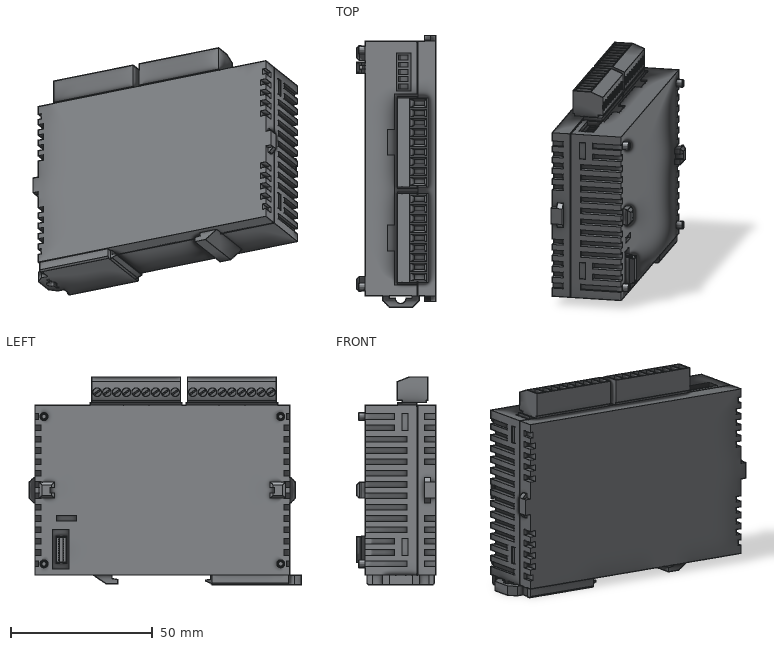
import cadquery as cq


THICKNESS = 25.0
LENGTH = 90.0
HEIGHT = 60.0
HALF_LENGTH = LENGTH / 2
MID_HEIGHT = HEIGHT / 2

PARTING_X = 18.25
PARTING_WIDTH = 0.35
PARTING_DEPTH = 0.5

VENT_PITCH = 4.0
VENT_WIDTH = 2.0
VENT_DEPTH = 2.1
VENT_SHALLOW_DEPTH = 1.2
VENT_COUNT = 14
VENT_LONG = 14.8
VENT_SHORT = 10.4
VENT_BACK_START = 21.0
SHORT_ROWS = (2, 3, 13, 14)
SHALLOW_ROWS = (1, 14)
BACK_ROWS = (1, 2, 3, 4, 5, 10, 11, 12, 13, 14)
WINDOW_X = 13.0
WINDOW_WIDTH = 2.15
WINDOW_HEIGHT = 6.0
WINDOW_DEPTH = 0.5
WINDOW_ROWS = (2.5, 13.5)

POST_INSET_Y = 3.2
POST_INSET_Z = 4.0
POST_RADIUS = 1.4
POST_LENGTH = 2.4
POST_CHAMFER = 0.3
POST_DIMPLE_RADIUS = 0.8
POST_DIMPLE_DEPTH = 0.4

PLUG_REACH = 3.0
CLIP_INSET = 1.5
CLIP_LENGTH = 5.4
CLIP_HEIGHT = 5.7
CLIP_BEVEL = 1.0
CLIP_LIP_X = -1.5
CLIP_UNDERCUT = 1.2
CLIP_NOTCH_LENGTH = 1.5
CLIP_NOTCH_HEIGHT = 2.0

LABEL_Y = (30.4, 37.3)
LABEL_Z = (19.1, 21.0)
LABEL_DEPTH = 2.2

SOCKET_Y = (33.05, 38.85)
SOCKET_Z = (2.25, 16.2)
SOCKET_DEPTH = 2.3
PLUG_Y = (33.6, 37.6)
PLUG_Z = (4.1, 13.9)
PLUG_STEP_X = -1.2
PLUG_STEP = 0.3
PLUG_SLOT_Y = (35.1, 36.35)
PLUG_SLOT_X = (-1.85, -1.15)
PLUG_CHANNEL_DEPTH = 0.5
PLUG_GROOVE_X = (-1.4, -1.2)
PLUG_GROOVE_DEPTH = 0.2
PLUG_WALL = 0.3
PLUG_KEY_WALL = 0.45
PLUG_WELL_DEPTH = 0.8
PIN_ROWS = 10
PIN_PITCH = 0.8
PIN_SIZE = 0.3
PIN_DEPTH = 0.4
PIN_COLUMN_SPACING = 1.5
CONTACT_OFFSET = 0.15

TERMINAL_CENTERS = (9.25, -24.55)
WAYS = 9
WAY_PITCH = 3.444
BLOCK_LENGTH = 31.4
BLOCK_FRONT = 11.3
BLOCK_BACK = 22.2
BLOCK_BOTTOM = HEIGHT + 1.75
BLOCK_SHOULDER = HEIGHT + 8.3
BLOCK_TOP = HEIGHT + 10.0
BLOCK_SLOPE_END = 15.6
NECK_X = (13.1, 21.6)
BASE_FRONT = 11.5
BASE_LENGTH = 32.5
BASE_TOP = HEIGHT + 0.9
BASE_SINK = 1.0

POCKET_X = (15.9, 21.6)
POCKET_FLOOR_X = (17.4, 21.0)
POCKET_WIDTH = 2.95
POCKET_FLOOR_WIDTH = 1.7
POCKET_DEPTH = 4.0
SCREW_RADIUS = 1.5
SCREW_Z = HEIGHT + 4.6
SCREW_RECESS = 0.3
SCREW_SLOT_WIDTH = 0.5
SCREW_SLOT_DEPTH = 0.5
SCREW_SLOT_ANGLE = 35.0

LEDGE_X = 10.3
LEDGE_Y = (-41.2, 26.3)
LEDGE_DEPTH = 0.5
LEDGE_TAB_X = 7.9
LEDGE_TAB_LENGTH = 9.1

SWITCH_BAY_X = (11.15, 16.25)
SWITCH_BAY_Y = (27.45, 40.75)
SWITCH_BAY_DEPTH = 1.5
SWITCH_COUNT = 5
SWITCH_PITCH = 2.54
SWITCH_X = (11.75, 15.1)
SWITCH_WIDTH = 1.75
SWITCH_DEPTH = 0.6
LEVER_END = 12.4

TAB_X = 20.9
TAB_STEP_X = 23.05
TAB_REACH = 2.0
TAB_HEIGHT = 5.7
TAB_BEVEL = 1.6

RAIL_X = (0.6, 24.5)
HOOK_DEPTH = 3.05
HOOK_ROOT = 24.4
HOOK_HEEL = 19.9
HOOK_TIP = 15.7
HOOK_TIP_TOP = 1.5
HOOK_THROAT = 17.75
HOOK_THROAT_TOP = 1.2
SLIDER_DEPTH = 3.45
SLIDER_FRONT = -17.6
SLIDER_CHAMFER = 0.6
SLIDER_END = -44.6
SLIDER_CHEEK = 2.0
RAIL_INNER_X = (RAIL_X[0] + SLIDER_CHEEK, RAIL_X[1] - SLIDER_CHEEK)
SLIDER_END_RECESS = 0.5
LATCH_TIP = -15.2
LATCH_STEP = 0.6
LATCH_TOP = -1.5
LATCH_TIP_TOP = -1.7
LATCH_TIP_BOTTOM = -2.1
LATCH_BOTTOM = -2.8
PULL_END = -49.05
PULL_X = (6.2, 19.2)
PULL_CORNER = 2.45
PULL_NOTCH_X = (8.6, 16.5)
PULL_NOTCH_DEPTH = 0.8
PULL_HOLE_RADIUS = 1.85


def block(x, y, z):
    """Box spanning the given (low, high) pairs."""
    size = (x[1] - x[0], y[1] - y[0], z[1] - z[0])
    return cq.Workplane("XY").box(*size, centered=False).translate((x[0], y[0], z[0]))


def centered_span(center, width):
    return (center - width / 2, center + width / 2)


def extrude_along_x(points, start, end):
    """Extrude a (y, z) outline from X = start to X = end."""
    return cq.Workplane("YZ").workplane(offset=start).polyline(points).close().extrude(end - start)


def at_both_ends(shape):
    """The shape together with its mirror image across the middle of the length."""
    return [shape, shape.mirror("XZ")]


def parting_groove():
    """Ring running around the top, bottom and end faces."""
    ring = cq.Workplane("YZ").workplane(offset=PARTING_X).center(0, MID_HEIGHT)
    inner = (LENGTH - 2 * PARTING_DEPTH, HEIGHT - 2 * PARTING_DEPTH)
    return ring.rect(LENGTH, HEIGHT).rect(*inner).extrude(PARTING_WIDTH)


def end_vents():
    """Slots and windows cut into one end face."""
    cuts = []
    for row in range(1, VENT_COUNT + 1):
        z = centered_span(row * VENT_PITCH, VENT_WIDTH)
        depth = VENT_SHALLOW_DEPTH if row in SHALLOW_ROWS else VENT_DEPTH
        y = (HALF_LENGTH - depth, HALF_LENGTH)
        length = VENT_SHORT if row in SHORT_ROWS else VENT_LONG
        cuts.append(block((0, length), y, z))
        if row in BACK_ROWS:
            cuts.append(block((VENT_BACK_START, THICKNESS), y, z))
    for row in WINDOW_ROWS:
        z = centered_span(row * VENT_PITCH, WINDOW_HEIGHT)
        y = (HALF_LENGTH - WINDOW_DEPTH, HALF_LENGTH)
        cuts.append(block((WINDOW_X, WINDOW_X + WINDOW_WIDTH), y, z))
    return cuts


def corner_post(y, z):
    post = cq.Workplane("YZ").center(y, z).circle(POST_RADIUS).extrude(-POST_LENGTH)
    post = post.faces("<X").chamfer(POST_CHAMFER)
    dimple = cq.Workplane("YZ").workplane(offset=-POST_LENGTH).center(y, z)
    return post.cut(dimple.circle(POST_DIMPLE_RADIUS).extrude(POST_DIMPLE_DEPTH))


def mating_clip():
    """Bevelled snap-in nose near one end, undercut outside and notched inside."""
    outer = HALF_LENGTH - CLIP_INSET
    inner = outer - CLIP_LENGTH
    z = centered_span(MID_HEIGHT, CLIP_HEIGHT)
    clip = block((-PLUG_REACH, 0), (inner, outer), z).faces("<X").chamfer(CLIP_BEVEL)
    clip = clip.cut(block((CLIP_LIP_X, 0), (outer - CLIP_UNDERCUT, outer), z))
    notch_z = centered_span(MID_HEIGHT, CLIP_NOTCH_HEIGHT)
    return clip.cut(block((-PLUG_REACH, 0), (inner, inner + CLIP_NOTCH_LENGTH), notch_z))


def bus_plug():
    """Pin connector standing in its socket, with a shallow well holding the contacts."""
    shroud_z = (PLUG_Z[0] + PLUG_STEP, PLUG_Z[1] - PLUG_STEP)
    well_y = (PLUG_Y[0] + PLUG_KEY_WALL, PLUG_Y[1] - PLUG_WALL)
    well_z = (shroud_z[0] + PLUG_WALL, shroud_z[1] - PLUG_WALL)
    well_floor = -PLUG_REACH + PLUG_WELL_DEPTH

    plug = block((PLUG_STEP_X, SOCKET_DEPTH), PLUG_Y, PLUG_Z)
    plug = plug.union(block((-PLUG_REACH, PLUG_STEP_X), PLUG_Y, shroud_z))
    plug = plug.cut(block((-PLUG_REACH, well_floor), well_y, well_z))
    plug = plug.cut(block(PLUG_SLOT_X, PLUG_SLOT_Y, PLUG_Z))
    for y in (PLUG_Y[0], PLUG_Y[1] - PLUG_GROOVE_DEPTH):
        plug = plug.cut(block(PLUG_GROOVE_X, (y, y + PLUG_GROOVE_DEPTH), PLUG_Z))
    for z in (PLUG_Z[0], PLUG_Z[1] - PLUG_CHANNEL_DEPTH):
        channel_x = (PLUG_STEP_X, SOCKET_DEPTH)
        plug = plug.cut(block(channel_x, PLUG_SLOT_Y, (z, z + PLUG_CHANNEL_DEPTH)))

    contacts = cq.Workplane("YZ").workplane(offset=well_floor)
    contacts = contacts.center(sum(PLUG_Y) / 2 + CONTACT_OFFSET, sum(PLUG_Z) / 2)
    contacts = contacts.rarray(PIN_COLUMN_SPACING, PIN_PITCH, 2, PIN_ROWS)
    return plug.cut(contacts.rect(PIN_SIZE, PIN_SIZE).extrude(PIN_DEPTH))


def way_positions(center):
    return [center + (way - (WAYS - 1) / 2) * WAY_PITCH for way in range(WAYS)]


def wire_pocket(y):
    """Wire entry tapering from its mouth down to its floor."""
    floor_x = sum(POCKET_FLOOR_X) / 2
    mouth_x = sum(POCKET_X) / 2
    pocket = cq.Workplane("XY").workplane(offset=BLOCK_TOP).center(mouth_x, y)
    pocket = pocket.rect(POCKET_X[1] - POCKET_X[0], POCKET_WIDTH)
    pocket = pocket.workplane(offset=-POCKET_DEPTH).center(floor_x - mouth_x, 0)
    pocket = pocket.rect(POCKET_FLOOR_X[1] - POCKET_FLOOR_X[0], POCKET_FLOOR_WIDTH)
    return pocket.loft(ruled=True)


def screw_recess(y):
    """Sunk screw head with its driver slot."""
    plane = cq.Workplane("YZ").workplane(offset=BLOCK_FRONT).center(y, SCREW_Z)
    head = plane.circle(SCREW_RADIUS).extrude(SCREW_RECESS)
    slot = plane.transformed(rotate=(0, 0, -SCREW_SLOT_ANGLE)).rect(2 * SCREW_RADIUS, SCREW_SLOT_WIDTH)
    slot = slot.extrude(SCREW_RECESS + SCREW_SLOT_DEPTH)
    shank = plane.circle(SCREW_RADIUS).extrude(SCREW_RECESS + SCREW_SLOT_DEPTH)
    return head.union(slot.intersect(shank))


def terminal_block(center):
    outline = [
        (BLOCK_FRONT, BLOCK_BOTTOM),
        (BLOCK_FRONT, BLOCK_SHOULDER),
        (BLOCK_SLOPE_END, BLOCK_TOP),
        (BLOCK_BACK, BLOCK_TOP),
        (BLOCK_BACK, BLOCK_BOTTOM),
        (NECK_X[1], BLOCK_BOTTOM),
        (NECK_X[1], BASE_TOP),
        (NECK_X[0], BASE_TOP),
        (NECK_X[0], BLOCK_BOTTOM),
    ]
    profile = cq.Workplane("XZ").polyline(outline).close()
    body = profile.extrude(BLOCK_LENGTH / 2, both=True).translate((0, center, 0))
    for y in way_positions(center):
        body = body.cut(wire_pocket(y)).cut(screw_recess(y))
    base_y = centered_span(center, BASE_LENGTH)
    return body.union(block((BASE_FRONT, PARTING_X), base_y, (HEIGHT - BASE_SINK, BASE_TOP)))


def terminal_ledge():
    """Shallow step in the top face around the terminals, with a finger tab at each."""
    z = (HEIGHT - LEDGE_DEPTH, HEIGHT)
    ledge = block((LEDGE_X, PARTING_X), LEDGE_Y, z)
    for center in TERMINAL_CENTERS:
        ledge = ledge.union(block((LEDGE_TAB_X, LEDGE_X), centered_span(center, LEDGE_TAB_LENGTH), z))
    return ledge


def switch_bay():
    """Sunken bay whose floor holds a row of switch wells, each with a lever left standing."""
    floor = HEIGHT - SWITCH_BAY_DEPTH
    bay = block(SWITCH_BAY_X, SWITCH_BAY_Y, (floor, HEIGHT))
    middle = sum(SWITCH_BAY_Y) / 2
    for index in range(SWITCH_COUNT):
        y = centered_span(middle + (index - (SWITCH_COUNT - 1) / 2) * SWITCH_PITCH, SWITCH_WIDTH)
        bay = bay.union(block((LEVER_END, SWITCH_X[1]), y, (floor - SWITCH_DEPTH, floor)))
        bay = bay.union(block((SWITCH_X[0], LEVER_END), y, (floor - SWITCH_DEPTH / 2, floor)))
    return bay


def end_tab():
    """Bevelled finger tab on one end face."""
    half = TAB_HEIGHT / 2
    tip = HALF_LENGTH + TAB_REACH
    outline = [
        (HALF_LENGTH, MID_HEIGHT - half - TAB_BEVEL),
        (tip - TAB_BEVEL, MID_HEIGHT - half - TAB_BEVEL),
        (tip, MID_HEIGHT - half),
        (tip, MID_HEIGHT + half),
        (tip - TAB_BEVEL, MID_HEIGHT + half + TAB_BEVEL),
        (HALF_LENGTH, MID_HEIGHT + half + TAB_BEVEL),
    ]
    wide = extrude_along_x(outline, TAB_X, TAB_STEP_X)
    z = centered_span(MID_HEIGHT, TAB_HEIGHT)
    return wide.union(block((TAB_X, THICKNESS), (HALF_LENGTH, tip), z))


def rail_hook():
    """Fixed hook that grips the upper edge of the rail."""
    outline = [
        (HOOK_ROOT, 0),
        (HOOK_HEEL, -HOOK_DEPTH),
        (HOOK_TIP, -HOOK_DEPTH),
        (HOOK_TIP, -HOOK_TIP_TOP),
        (HOOK_THROAT, -HOOK_THROAT_TOP),
        (HOOK_THROAT, 0),
    ]
    return extrude_along_x(outline, *RAIL_INNER_X)


def rail_slider():
    """Sliding latch with a pointed nose and a recessed end face."""
    body = block(RAIL_X, (SLIDER_END, SLIDER_FRONT), (-SLIDER_DEPTH, 0))
    body = body.edges("|Y and <Z").chamfer(SLIDER_CHAMFER)
    shoulder = SLIDER_FRONT + LATCH_STEP
    nose = [
        (shoulder, 0),
        (shoulder, LATCH_TOP),
        (LATCH_TIP, LATCH_TIP_TOP),
        (LATCH_TIP, LATCH_TIP_BOTTOM),
        (shoulder, LATCH_BOTTOM),
        (SLIDER_FRONT, -SLIDER_DEPTH),
        (SLIDER_FRONT, 0),
    ]
    recess_y = (SLIDER_END, SLIDER_END + SLIDER_END_RECESS)
    body = body.cut(block(RAIL_INNER_X, recess_y, (-SLIDER_DEPTH, 0)))
    return body.union(extrude_along_x(nose, *RAIL_INNER_X))


def pull_tab():
    """Tapered tab at the slider's end with a stepped, rounded opening."""
    root = SLIDER_END + SLIDER_END_RECESS
    outline = [
        (PULL_X[0], root),
        (PULL_X[0], PULL_END + PULL_CORNER),
        (PULL_X[0] + PULL_CORNER, PULL_END),
        (PULL_X[1] - PULL_CORNER, PULL_END),
        (PULL_X[1], PULL_END + PULL_CORNER),
        (PULL_X[1], root),
    ]
    tab = cq.Workplane("XY").polyline(outline).close().extrude(-SLIDER_DEPTH)
    notch_end = -HALF_LENGTH - PULL_NOTCH_DEPTH
    z = (-SLIDER_DEPTH, 0)
    notch = block(PULL_NOTCH_X, (notch_end, -HALF_LENGTH), z)
    hole = cq.Workplane("XY").center(sum(PULL_NOTCH_X) / 2, notch_end)
    return tab.cut(notch).cut(hole.circle(PULL_HOLE_RADIUS).extrude(-SLIDER_DEPTH))


def build_module():
    housing = block((0, THICKNESS), (-HALF_LENGTH, HALF_LENGTH), (0, HEIGHT))
    cuts = [
        parting_groove(),
        terminal_ledge(),
        switch_bay(),
        block((0, LABEL_DEPTH), LABEL_Y, LABEL_Z),
        block((0, SOCKET_DEPTH), SOCKET_Y, SOCKET_Z),
    ]
    for vent in end_vents():
        cuts += at_both_ends(vent)
    for shape in cuts:
        housing = housing.cut(shape)

    additions = [bus_plug(), rail_hook(), rail_slider(), pull_tab()]
    additions += at_both_ends(mating_clip())
    additions += at_both_ends(end_tab())
    for z in (POST_INSET_Z, HEIGHT - POST_INSET_Z):
        additions += at_both_ends(corner_post(HALF_LENGTH - POST_INSET_Y, z))
    additions += [terminal_block(center) for center in TERMINAL_CENTERS]
    for shape in additions:
        housing = housing.union(shape)
    return housing


result = build_module()